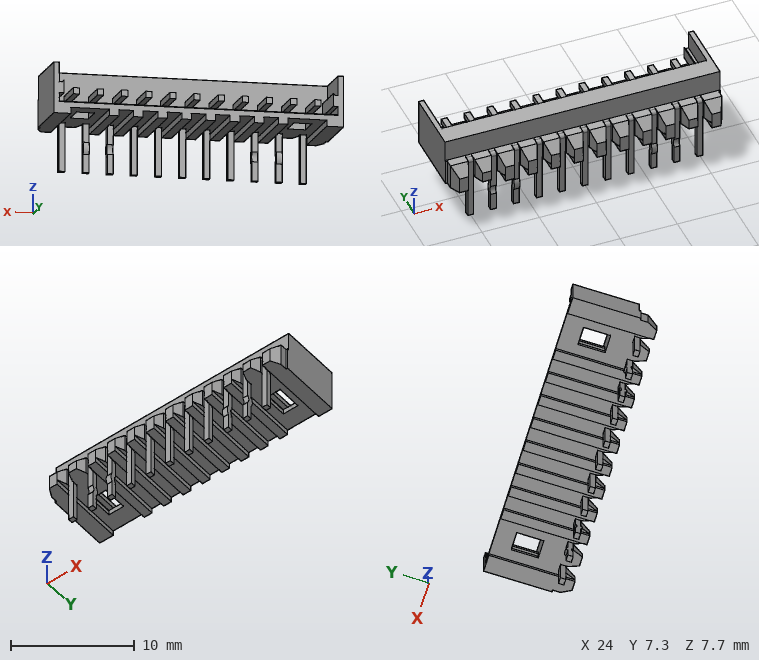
import cadquery as cq


LENGTH = 24.0
HEIGHT = 4.2
END_WALL = 0.45
WALL_REAR_Y = -3.9
WALL_FRONT_Y = -5.65
LEDGE_FRONT_Y = -5.78
LEDGE_TOP_Z = 2.28
STANDOFF = 0.5
FLOOR_TOP_Z = 1.0
FLOOR_CHAMFER = 0.07

RAIL_TOP_Z = 2.6
RAIL_BOTTOM_Z = 1.68
RAIL_SHELF = 0.25
RAIL_LIP = 0.15

PIN_COUNT = 11
PITCH = LENGTH / (PIN_COUNT + 1)
PIN_SIZE = 0.5
LEG_DEPTH = 0.45
PIN_REAR_Y = -0.58
PIN_TIP_Z = -3.5
PIN_FRONT_Y = LEDGE_FRONT_Y - LEG_DEPTH
PIN_BEND_RADIUS = 0.3

KINKS = {1: 1, 2: -1, PIN_COUNT - 3: -1, PIN_COUNT - 2: 1}
KINK_Z = -1.5
KINK_DEPTH = 0.15
KINK_OUTER_HALF = 0.5
KINK_INNER_HALF = 0.4

TOOTH_COUNT = PIN_COUNT + 1
SLOT_WIDTH = 0.55
TOOTH_WIDTH = PITCH - SLOT_WIDTH
TOOTH_TIP_WIDTH = 0.8
TAPER_START_Y = -6.43
TOOTH_FRONT_Y = -7.3
TAPER_DEPTH = TAPER_START_Y - TOOTH_FRONT_Y
END_TOOTH_SETBACK = 0.155

WINDOW_TEETH = (1, TOOTH_COUNT - 2)
WINDOW_REAR_Y = -1.63
WINDOW_WIDTH = PITCH - PIN_SIZE


def block(x_range, y_range, z_range):
    """Axis-aligned box given by its low and high limits on each axis."""
    (x0, x1), (y0, y1), (z0, z1) = x_range, y_range, z_range
    return cq.Workplane("XY").box(x1 - x0, y1 - y0, z1 - z0, centered=False).translate((x0, y0, z0))


def side_profile(x0):
    """Sketch plane at X = x0 with local axes (Y, Z), extruding toward +X."""
    return cq.Workplane("YZ", origin=(x0, 0, 0))


def tooth_x(index):
    return (index - (TOOTH_COUNT - 1) / 2) * PITCH


def pin_x(index):
    return (index - (PIN_COUNT - 1) / 2) * PITCH


def make_housing():
    half = LENGTH / 2
    inner = half - END_WALL
    wall = (
        side_profile(-half)
        .polyline([
            (WALL_REAR_Y, STANDOFF),
            (WALL_REAR_Y, HEIGHT),
            (WALL_FRONT_Y, HEIGHT),
            (WALL_FRONT_Y, LEDGE_TOP_Z),
            (LEDGE_FRONT_Y, LEDGE_TOP_Z),
            (LEDGE_FRONT_Y, STANDOFF),
        ])
        .close()
        .extrude(LENGTH)
    )
    floor = block((-half, half), (WALL_REAR_Y, 0), (STANDOFF, FLOOR_TOP_Z))
    floor = floor.edges(">Y and >Z").chamfer(FLOOR_CHAMFER)
    for index in WINDOW_TEETH:
        x = tooth_x(index)
        window_x = (x - WINDOW_WIDTH / 2, x + WINDOW_WIDTH / 2)
        floor = floor.cut(block(window_x, (WALL_REAR_Y, WINDOW_REAR_Y), (0, HEIGHT)))
    housing = wall.union(floor)

    end_wall = block((-half, -inner), (WALL_FRONT_Y, 0), (0, HEIGHT))
    end_wall = end_wall.union(block((-half, -inner), (LEDGE_FRONT_Y, 0), (0, LEDGE_TOP_Z)))
    rail = (
        cq.Workplane("XZ", origin=(-inner, 0, 0))
        .polyline([
            (0, RAIL_TOP_Z),
            (RAIL_SHELF, RAIL_TOP_Z),
            (RAIL_SHELF + RAIL_LIP, RAIL_TOP_Z + RAIL_LIP),
            (RAIL_SHELF + RAIL_LIP, RAIL_BOTTOM_Z),
            (0, RAIL_BOTTOM_Z),
        ])
        .close()
        .extrude(-WALL_REAR_Y)
    )
    end = end_wall.union(rail)
    return housing.union(end).union(end.mirror("YZ"))


def make_tooth(root_left, root_right, tip_left, tip_right, bottom_z):
    """Tooth tapering in plan toward its tip, with a 45-degree bevel on top."""
    plan = (
        cq.Workplane("XY", origin=(0, 0, bottom_z))
        .polyline([
            (root_left, WALL_FRONT_Y),
            (root_left, TAPER_START_Y),
            (tip_left, TOOTH_FRONT_Y),
            (tip_right, TOOTH_FRONT_Y),
            (root_right, TAPER_START_Y),
            (root_right, WALL_FRONT_Y),
        ])
        .close()
        .extrude(LEDGE_TOP_Z - bottom_z)
    )
    bevel = (
        side_profile(root_left)
        .polyline([
            (TAPER_START_Y, LEDGE_TOP_Z),
            (TOOTH_FRONT_Y, LEDGE_TOP_Z),
            (TOOTH_FRONT_Y, LEDGE_TOP_Z - TAPER_DEPTH),
        ])
        .close()
        .extrude(root_right - root_left)
    )
    return plan.cut(bevel)


def make_middle_tooth(index):
    """Tooth between two pins; away from the windows it stands on a full-depth foot."""
    x = tooth_x(index)
    half_root = TOOTH_WIDTH / 2
    half_tip = TOOTH_TIP_WIDTH / 2
    tooth = make_tooth(x - half_root, x + half_root, x - half_tip, x + half_tip, STANDOFF)
    if index in WINDOW_TEETH:
        return tooth
    return tooth.union(block((x - half_tip, x + half_tip), (TOOTH_FRONT_Y, 0), (0, STANDOFF)))


def make_end_tooth():
    """Left end tooth: wider outward, reaching Z = 0 except beside the first pin."""
    x = tooth_x(0)
    root_left = -LENGTH / 2 + END_TOOTH_SETBACK
    root_right = x + TOOTH_WIDTH / 2
    half_tip = TOOTH_TIP_WIDTH / 2
    upper = make_tooth(root_left, root_right, x - half_tip, x + half_tip, STANDOFF)
    foot = (
        cq.Workplane("XY")
        .polyline([
            (root_left, 0),
            (root_left, TAPER_START_Y),
            (x - half_tip, TOOTH_FRONT_Y),
            (x + half_tip, TOOTH_FRONT_Y),
            (x + half_tip, 0),
        ])
        .close()
        .extrude(STANDOFF)
    )
    return upper.union(foot)


def make_pin(index):
    """Pin bent down at the front, with an optional arched kink in its leg."""
    kink = KINKS.get(index, 0)
    rear_half = KINK_OUTER_HALF if kink > 0 else KINK_INNER_HALF
    front_half = KINK_OUTER_HALF if kink < 0 else KINK_INNER_HALF
    shift = kink * KINK_DEPTH
    bend_y = PIN_FRONT_Y + PIN_BEND_RADIUS
    bend_z = LEDGE_TOP_Z - PIN_BEND_RADIUS

    outline = (
        side_profile(pin_x(index) - PIN_SIZE / 2)
        .moveTo(PIN_REAR_Y, LEDGE_TOP_Z)
        .lineTo(bend_y, LEDGE_TOP_Z)
        .tangentArcPoint((PIN_FRONT_Y, bend_z), relative=False)
    )
    if kink:
        outline = outline.lineTo(PIN_FRONT_Y, KINK_Z + front_half).threePointArc(
            (PIN_FRONT_Y + shift, KINK_Z), (PIN_FRONT_Y, KINK_Z - front_half)
        )
    outline = outline.lineTo(PIN_FRONT_Y, PIN_TIP_Z).lineTo(LEDGE_FRONT_Y, PIN_TIP_Z)
    if kink:
        outline = outline.lineTo(LEDGE_FRONT_Y, KINK_Z - rear_half).threePointArc(
            (LEDGE_FRONT_Y + shift, KINK_Z), (LEDGE_FRONT_Y, KINK_Z + rear_half)
        )
    return (
        outline.lineTo(LEDGE_FRONT_Y, LEDGE_TOP_Z - PIN_SIZE)
        .lineTo(PIN_REAR_Y, LEDGE_TOP_Z - PIN_SIZE)
        .close()
        .extrude(PIN_SIZE)
    )


result = make_housing()

end_tooth = make_end_tooth()
result = result.union(end_tooth).union(end_tooth.mirror("YZ"))

for tooth_index in range(1, TOOTH_COUNT - 1):
    result = result.union(make_middle_tooth(tooth_index))

for pin_index in range(PIN_COUNT):
    result = result.union(make_pin(pin_index))